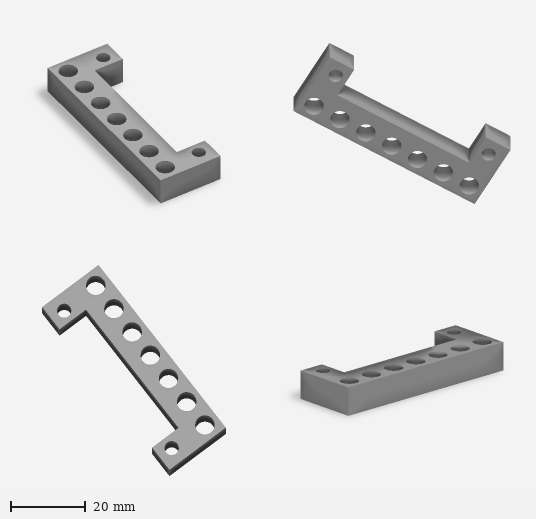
import cadquery as cq

length = 56.0
depth = 19.0
height = 8.0

arm_width = 7.7
bar_depth = 10.1

row_hole_count = 7
row_hole_diameter = 5.2
row_hole_pitch = length / row_hole_count
row_hole_from_front = row_hole_pitch / 2

arm_hole_diameter = 3.8
arm_hole_spacing = 47.25
arm_hole_from_back = 4.1


def block(size_x, size_y, center_x, front_y):
    """Full-height block standing on Z = 0."""
    return (
        cq.Workplane("XY")
        .box(size_x, size_y, height, centered=(True, False, False))
        .translate((center_x, front_y, 0))
    )


def vertical_holes(centers, diameter):
    """Cylinders through the full height at the given centers."""
    return cq.Workplane("XY").pushPoints(centers).circle(diameter / 2).extrude(height)


gap_width = length - 2 * arm_width
gap_depth = depth - bar_depth
body = block(length, depth, 0, 0).cut(block(gap_width, gap_depth, 0, bar_depth))

row_centers = [
    ((i - (row_hole_count - 1) / 2) * row_hole_pitch, row_hole_from_front)
    for i in range(row_hole_count)
]
body = body.cut(vertical_holes(row_centers, row_hole_diameter))

arm_centers = [
    (side * arm_hole_spacing / 2, depth - arm_hole_from_back) for side in (-1, 1)
]
result = body.cut(vertical_holes(arm_centers, arm_hole_diameter))